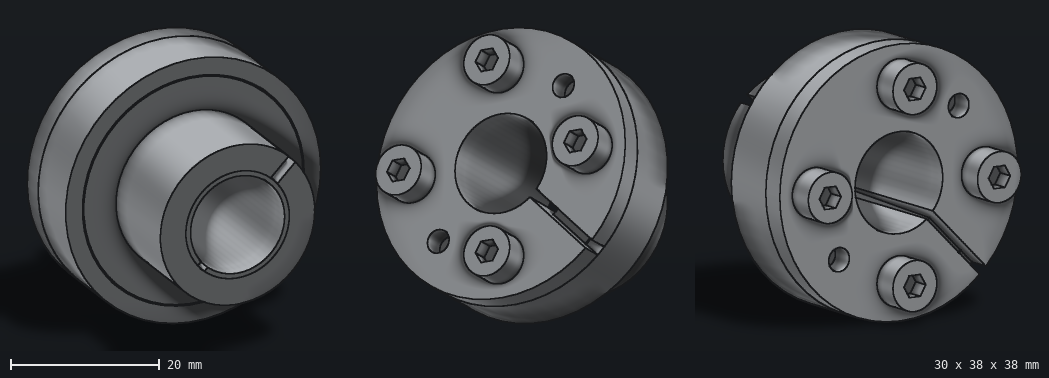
import cadquery as cq
import math


total_length = 30.0
head_height = 4.0
plate_thickness = 3.5
flange_thickness = 8.6
back_x = total_length / 2
head_x = -back_x
plate_x = head_x + head_height
flange_x = plate_x + plate_thickness
tube_x = flange_x + flange_thickness

outer_diameter = 38.0
ring_bore = 33.0
hub_flange_diameter = 32.6
hub_tube_diameter = 23.0
shaft_bore = 14.0
taper_front_diameter = 18.8
taper_back_diameter = 15.4

slit_width = 1.4
sleeve_slit_angle = 225.0
hub_slit_angle = 45.0

bolt_circle_radius = 13.5
screw_angles = [0.0, 90.0, 180.0, 270.0]
jack_angles = [135.0, 315.0]
jack_diameter = 3.3
head_diameter = 7.0
shank_diameter = 4.0
shank_length = 10.0
socket_across_flats = 3.0
socket_depth = 2.5


def polar(angle):
    """(Y, Z) point on the bolt circle."""
    turn = math.radians(angle)
    return bolt_circle_radius * math.cos(turn), bolt_circle_radius * math.sin(turn)


screw_centers = [polar(angle) for angle in screw_angles]


def cylinder(x_start, length, diameter, centers=((0, 0),)):
    """Cylinders along +X at the given (Y, Z) centers."""
    plane = cq.Workplane("YZ", origin=(x_start, 0, 0))
    return plane.pushPoints(centers).circle(diameter / 2).extrude(length)


def taper():
    """Solid cone that fills the hub bore."""
    profile = [
        (flange_x, 0),
        (flange_x, taper_front_diameter / 2),
        (back_x, taper_back_diameter / 2),
        (back_x, 0),
    ]
    return cq.Workplane("XY").polyline(profile).close().revolve(360, (0, 0, 0), (1, 0, 0))


def slit(x_start, angle):
    """Radial slab from the axis outwards, running to the back end."""
    slab = cq.Workplane("XY").box(
        back_x - x_start, outer_diameter, slit_width, centered=(False, False, True)
    )
    return slab.rotate((0, 0, 0), (1, 0, 0), angle).translate((x_start, 0, 0))


def make_sleeve():
    """Flange plate and taper sleeve in one piece, split along its whole length."""
    body = cylinder(plate_x, plate_thickness, outer_diameter).union(taper())
    body = body.cut(cylinder(plate_x, back_x - plate_x, shaft_bore))
    body = body.cut(slit(plate_x, sleeve_slit_angle))
    jack_centers = [polar(angle) for angle in jack_angles]
    body = body.cut(cylinder(plate_x, plate_thickness, jack_diameter, jack_centers))
    return body.cut(cylinder(plate_x, shank_length, shank_diameter, screw_centers))


def make_hub():
    """Flanged hub with a taper bore; its tube is split on one side."""
    body = cylinder(flange_x, flange_thickness, hub_flange_diameter)
    body = body.union(cylinder(tube_x, back_x - tube_x, hub_tube_diameter))
    body = body.cut(taper())
    body = body.cut(slit(tube_x, hub_slit_angle))
    return body.cut(cylinder(plate_x, shank_length, shank_diameter, screw_centers))


def make_ring():
    """Plain ring that surrounds the hub flange with a small gap."""
    body = cylinder(flange_x, flange_thickness, outer_diameter)
    return body.cut(cylinder(flange_x, flange_thickness, ring_bore))


def make_screw(center):
    """Socket cap screw with its hexagon corners towards +Y and -Y."""
    body = cylinder(head_x, head_height, head_diameter, [center])
    body = body.union(cylinder(plate_x, shank_length, shank_diameter, [center]))
    socket_corner_diameter = socket_across_flats / math.cos(math.pi / 6)
    socket = (
        cq.Workplane("YZ", origin=(head_x, 0, 0))
        .center(*center)
        .polygon(6, socket_corner_diameter)
        .extrude(socket_depth)
    )
    return body.cut(socket)


sleeve = make_sleeve()
hub = make_hub()
ring = make_ring()
screws = [make_screw(center) for center in screw_centers]

result = cq.Compound.makeCompound(
    [sleeve.solids().val(), hub.solids().val(), ring.solids().val()]
    + [screw.solids().val() for screw in screws]
)